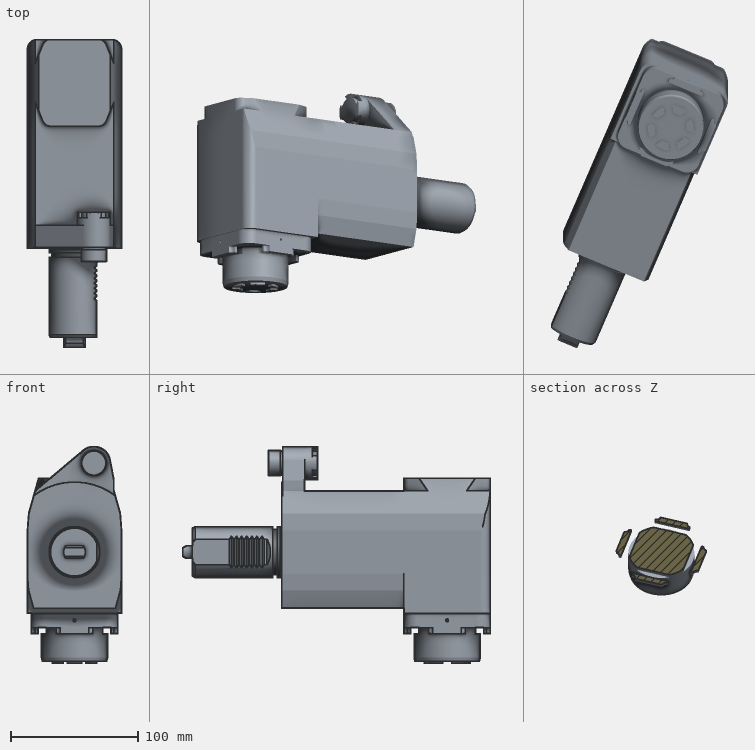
import cadquery as cq
import math


WIDTH = 74.0
HALF_WIDTH = WIDTH / 2
LENGTH = 164.0
FIRST_FACET_X = 36.0
FIRST_FACET_Z = 30.2
FLAT_SIDE_Z = 17.1
TOP_HALF_WIDTH = 31.0
TOP_Z = 48.0
BOTTOM_Z = -44.0
FACET_SLOPE = (FIRST_FACET_X - TOP_HALF_WIDTH) / (TOP_Z - FIRST_FACET_Z)
BOTTOM_HALF_WIDTH = FIRST_FACET_X + FACET_SLOPE * (FIRST_FACET_Z + BOTTOM_Z)

HEAD_LENGTH = 68.0
HEAD_FRONT_Y = LENGTH - HEAD_LENGTH
HEAD_BOTTOM_Z = -48.0
SPINDLE_Y = LENGTH - HEAD_LENGTH / 2
REAR_CORNER_RADIUS = 8.0

COVER_TOP_Z = 58.0
COVER_TOP_HALF_WIDTH = TOP_HALF_WIDTH - FACET_SLOPE * (COVER_TOP_Z - TOP_Z)
COVER_SIDE_HALF_LENGTH = 15.3
COVER_END_HALF_WIDTH = 23.2
COVER_CORNER_RADIUS = 6.0

ARM_CENTER_X = 15.2
ARM_CENTER_Z = 69.9
ARM_RADIUS = 13.0
ARM_THICKNESS = 18.0
ARM_SIDE_TOP_Z = 56.4
FACE_RELIEF_DEPTH = 0.8
FACE_ARC_RADIUS = 53.5
FACE_ARC_CENTER_Z = 1.5
PIN_DIAMETER = 20.0
PIN_NECK_DIAMETER = 19.0
PIN_NECK_END_Y = -1.2
PIN_TIP_Y = -10.5
PIN_CHAMFER = 0.5
BOLT_HEAD_DIAMETER = 26.0
BOLT_HEAD_END_Y = 28.3
BOLT_CORE_DIAMETER = 20.0
BOLT_SLOT_WIDTH = 8.6
BOLT_SLOT_DEPTH = 4.3
BOLT_SLOT_COUNT = 4

SHANK_DIAMETER = 40.0
SHANK_RADIUS = SHANK_DIAMETER / 2
SHANK_LENGTH = 70.0
SEAT_DIAMETER = 39.6
SEAT_LENGTH = 1.0
GROOVE_DIAMETER = 36.0
GROOVE_START = 3.6
GROOVE_END = 7.0
SHANK_CHAMFER_LENGTH = 2.2
SHANK_CHAMFER_DEPTH = 1.2
FLAT_X = 17.3
FLAT_START = 11.5
TOOTH_PITCH = 4.0
TOOTH_HALF_WIDTH = 1.6
TOOTH_DEPTH = 1.6
TOOTH_COUNT = 7
FIRST_TOOTH = 15.4

TANG_DIAMETER = 17.0
TANG_HEIGHT = 10.0
TANG_TIP = 77.8
TANG_BEVEL_LENGTH = 3.2
TANG_BEVEL_DEPTH = 1.7

FLANGE_SIZE = 68.0
FLANGE_HALF = FLANGE_SIZE / 2
FLANGE_CORNER_RADIUS = 10.0
FLANGE_TOP_Z = -48.6
FLANGE_BOTTOM_Z = -59.4
FLANGE_NECK_INSET = 0.5
TAB_BOTTOM_Z = -64.1
TAB_HALF_WIDTH = 11.2
TAB_CORNER_RADIUS = 6.37 / 2
TAB_THICKNESS = 5.4
SIDE_HOLE_DIAMETER = 2.1
SIDE_HOLE_DEPTH = 1.7
SIDE_HOLE_Z = -53.6

NUT_DIAMETER = 52.0
NUT_NOTCH_BOTTOM_Z = -64.3
NUT_NOTCH_SPACING = 44.6
NUT_BOTTOM_Z = -85.9
NUT_CHAMFER_HEIGHT = 3.2
NUT_CHAMFER_DEPTH = 0.8
CROWN_DIAMETER = 36.0
CROWN_BORE_DIAMETER = 25.0
CROWN_BOTTOM_Z = -87.41
CROWN_SLOT_WIDTH = 7.0
CROWN_SLOTS_ACROSS = 3


def prism_along_y(outline, start_y, end_y):
    """Extrude a closed list of (x, z) points from start_y to end_y."""
    sketch = cq.Workplane("XZ", origin=(0, start_y, 0)).polyline(outline).close()
    return sketch.extrude(start_y - end_y)


def prism_along_x(outline, width):
    """Extrude a closed list of (y, z) points to the given width, centred on X = 0."""
    return cq.Workplane("YZ").polyline(outline).close().extrude(width / 2, both=True)


def cylinder_along_y(diameter, start_y, end_y, x=0.0, z=0.0):
    return cq.Workplane("XZ", origin=(x, start_y, z)).circle(diameter / 2).extrude(start_y - end_y)


def cylinder_along_z(diameter, low_z, high_z):
    base = cq.Workplane("XY", origin=(0, SPINDLE_Y, low_z))
    return base.circle(diameter / 2).extrude(high_z - low_z)


def box(size_x, size_y, low_z, high_z, center_y):
    base = cq.Workplane("XY", origin=(0, center_y, low_z))
    return base.rect(size_x, size_y).extrude(high_z - low_z)


def mirrored_outline(right_side):
    """Complete an outline from its +X half, listed from bottom to top."""
    return right_side + [(-x, z) for x, z in reversed(right_side)]


def make_housing():
    upper = [(HALF_WIDTH, FLAT_SIDE_Z), (FIRST_FACET_X, FIRST_FACET_Z), (TOP_HALF_WIDTH, TOP_Z)]
    lower = [
        (BOTTOM_HALF_WIDTH, BOTTOM_Z),
        (FIRST_FACET_X, -FIRST_FACET_Z),
        (HALF_WIDTH, -FLAT_SIDE_Z),
    ]
    barrel = prism_along_y(mirrored_outline(lower + upper), 0, HEAD_FRONT_Y)
    head_outline = mirrored_outline([(HALF_WIDTH, HEAD_BOTTOM_Z)] + upper)
    head = prism_along_y(head_outline, HEAD_FRONT_Y, LENGTH)
    head_plan = box(WIDTH, HEAD_LENGTH, HEAD_BOTTOM_Z, TOP_Z, SPINDLE_Y)
    head = head.intersect(head_plan.edges("|Z and >Y").fillet(REAR_CORNER_RADIUS))
    return barrel.union(head)


def make_cover():
    """Eight-cornered plate whose long sides continue the upper housing facets."""
    half_length = HEAD_LENGTH / 2
    right_side = [
        (COVER_END_HALF_WIDTH, -half_length),
        (TOP_HALF_WIDTH, -COVER_SIDE_HALF_LENGTH),
        (TOP_HALF_WIDTH, COVER_SIDE_HALF_LENGTH),
        (COVER_END_HALF_WIDTH, half_length),
    ]
    base = cq.Workplane("XY", origin=(0, SPINDLE_Y, TOP_Z))
    plate = base.polyline(mirrored_outline(right_side)).close().extrude(COVER_TOP_Z - TOP_Z)
    end_corners = plate.edges("|Z").edges("<Y or >Y")
    plate = end_corners.fillet(COVER_CORNER_RADIUS)
    taper = mirrored_outline([(TOP_HALF_WIDTH, TOP_Z), (COVER_TOP_HALF_WIDTH, COVER_TOP_Z)])
    return plate.intersect(prism_along_y(taper, HEAD_FRONT_Y, LENGTH))


def arm_tangent_point(x, z, side):
    """Point where a line from (x, z) touches the arm end, on the given side (+1 or -1)."""
    dx = x - ARM_CENTER_X
    dz = z - ARM_CENTER_Z
    angle = math.atan2(dz, dx) + side * math.acos(ARM_RADIUS / math.hypot(dx, dz))
    return (
        ARM_CENTER_X + ARM_RADIUS * math.cos(angle),
        ARM_CENTER_Z + ARM_RADIUS * math.sin(angle),
    )


def make_arm():
    right_tangent = arm_tangent_point(TOP_HALF_WIDTH, ARM_SIDE_TOP_Z, 1)
    left_tangent = arm_tangent_point(-TOP_HALF_WIDTH, TOP_Z, -1)
    outline = (
        cq.Workplane("XZ")
        .moveTo(-TOP_HALF_WIDTH, 0)
        .lineTo(TOP_HALF_WIDTH, 0)
        .lineTo(TOP_HALF_WIDTH, ARM_SIDE_TOP_Z)
        .lineTo(*right_tangent)
        .threePointArc((ARM_CENTER_X, ARM_CENTER_Z + ARM_RADIUS), left_tangent)
        .lineTo(-TOP_HALF_WIDTH, TOP_Z)
        .close()
    )
    return outline.extrude(-ARM_THICKNESS)


def make_face_relief():
    """Shallow step that leaves a round-topped raised area on the mounting face."""
    top = ARM_CENTER_Z + ARM_RADIUS
    slab = box(WIDTH, 2 * FACE_RELIEF_DEPTH, 0, top, 0)
    raised = cylinder_along_y(
        2 * FACE_ARC_RADIUS, -FACE_RELIEF_DEPTH, FACE_RELIEF_DEPTH, z=FACE_ARC_CENTER_Z
    )
    return slab.cut(raised)


def make_pin():
    at_arm = {"x": ARM_CENTER_X, "z": ARM_CENTER_Z}
    neck = cylinder_along_y(PIN_NECK_DIAMETER, PIN_NECK_END_Y, ARM_THICKNESS, **at_arm)
    tip = cylinder_along_y(PIN_DIAMETER, PIN_TIP_Y, PIN_NECK_END_Y, **at_arm)
    return neck.union(tip.faces("<Y").edges().chamfer(PIN_CHAMFER))


def make_bolt_head():
    at_arm = {"x": ARM_CENTER_X, "z": ARM_CENTER_Z}
    slot_start = BOLT_HEAD_END_Y - BOLT_SLOT_DEPTH
    head = cylinder_along_y(BOLT_HEAD_DIAMETER, ARM_THICKNESS, BOLT_HEAD_END_Y, **at_arm)
    core = cylinder_along_y(BOLT_CORE_DIAMETER, slot_start, BOLT_HEAD_END_Y, **at_arm)
    slot_base = cq.Workplane("XZ", origin=(ARM_CENTER_X, slot_start, ARM_CENTER_Z))
    for index in range(BOLT_SLOT_COUNT):
        turn = 360 / BOLT_SLOT_COUNT * (index + 0.5)
        outline = slot_base.transformed(rotate=(0, 0, turn)).center(BOLT_HEAD_DIAMETER / 2, 0)
        head = head.cut(outline.rect(BOLT_HEAD_DIAMETER, BOLT_SLOT_WIDTH).extrude(-BOLT_SLOT_DEPTH))
    return head.union(core)


def make_shank():
    end_radius = SHANK_RADIUS - SHANK_CHAMFER_DEPTH
    half_section = [
        (0, 0),
        (SEAT_DIAMETER / 2, 0),
        (SEAT_DIAMETER / 2, -SEAT_LENGTH),
        (SHANK_RADIUS, -SEAT_LENGTH),
        (SHANK_RADIUS, -GROOVE_START),
        (GROOVE_DIAMETER / 2, -GROOVE_START),
        (GROOVE_DIAMETER / 2, -GROOVE_END),
        (SHANK_RADIUS, -GROOVE_END),
        (SHANK_RADIUS, SHANK_CHAMFER_LENGTH - SHANK_LENGTH),
        (end_radius, -SHANK_LENGTH),
        (0, -SHANK_LENGTH),
    ]
    shank = cq.Workplane("XY").polyline(half_section).close().revolve(360, (0, 0, 0), (0, 1, 0))
    return shank.cut(make_flat_cutter()).cut(make_tooth_gaps())


def make_flat_cutter():
    """Clears the +X side of the shank to a flat that starts with a 45 degree ramp."""
    ramp = SHANK_RADIUS - FLAT_X
    section = [
        (FLAT_X, -FLAT_START),
        (FLAT_X, -SHANK_LENGTH),
        (SHANK_RADIUS, -SHANK_LENGTH),
        (SHANK_RADIUS, ramp - FLAT_START),
    ]
    return cq.Workplane("XY").polyline(section).close().extrude(SHANK_RADIUS, both=True)


def make_tooth_gaps():
    gaps = cq.Workplane("XY")
    for index in range(TOOTH_COUNT):
        y = -FIRST_TOOTH - index * TOOTH_PITCH
        section = [
            (FLAT_X - TOOTH_DEPTH, y),
            (FLAT_X, y - TOOTH_HALF_WIDTH),
            (FLAT_X, y + TOOTH_HALF_WIDTH),
        ]
        gaps = gaps.add(cq.Workplane("XY").polyline(section).close().extrude(SHANK_RADIUS, both=True))
    return gaps.combine()


def make_tang():
    """Flat-sided tang with rounded narrow sides, bevelled above and below at its tip."""
    length = TANG_TIP - SHANK_LENGTH
    rod = cylinder_along_y(TANG_DIAMETER, -TANG_TIP, -SHANK_LENGTH)
    tang = rod.intersect(
        box(TANG_DIAMETER, 2 * length, -TANG_HEIGHT / 2, TANG_HEIGHT / 2, -SHANK_LENGTH)
    )
    flank_z = TANG_HEIGHT / 2
    bevel = prism_along_x(
        [
            (-TANG_TIP, flank_z),
            (-TANG_TIP, flank_z - TANG_BEVEL_DEPTH),
            (TANG_BEVEL_LENGTH - TANG_TIP, flank_z),
        ],
        TANG_DIAMETER,
    )
    return tang.cut(bevel).cut(bevel.mirror("XY"))


def make_tab():
    """Hanging tab at the +X side of the flange, widened inwards by concave corners."""
    corner_x = FLANGE_HALF - TAB_CORNER_RADIUS
    wide = TAB_HALF_WIDTH + TAB_CORNER_RADIUS
    inner_x = FLANGE_HALF - TAB_THICKNESS
    arc_offset = TAB_CORNER_RADIUS * math.sqrt(0.5)
    arc_x = FLANGE_HALF - arc_offset
    arc_y = wide - arc_offset
    return (
        cq.Workplane("XY", origin=(0, SPINDLE_Y, TAB_BOTTOM_Z))
        .moveTo(FLANGE_HALF, -TAB_HALF_WIDTH)
        .lineTo(FLANGE_HALF, TAB_HALF_WIDTH)
        .threePointArc((arc_x, arc_y), (corner_x, wide))
        .lineTo(inner_x, wide)
        .lineTo(inner_x, -wide)
        .lineTo(corner_x, -wide)
        .threePointArc((arc_x, -arc_y), (FLANGE_HALF, -TAB_HALF_WIDTH))
        .close()
        .extrude(FLANGE_BOTTOM_Z - TAB_BOTTOM_Z)
    )


def make_side_hole():
    base = cq.Workplane("YZ", origin=(FLANGE_HALF, SPINDLE_Y, SIDE_HOLE_Z))
    return base.circle(SIDE_HOLE_DIAMETER / 2).extrude(-SIDE_HOLE_DEPTH)


def rounded_square(size, corner_radius, low_z, high_z):
    """Square block on the spindle axis with rounded vertical edges."""
    return box(size, size, low_z, high_z, SPINDLE_Y).edges("|Z").fillet(corner_radius)


def make_flange():
    """Square flange on a short neck, with a hanging tab and a small hole in the middle of every side."""
    flange = rounded_square(FLANGE_SIZE, FLANGE_CORNER_RADIUS, FLANGE_BOTTOM_Z, FLANGE_TOP_Z)
    neck_size = FLANGE_SIZE - 2 * FLANGE_NECK_INSET
    neck_radius = FLANGE_CORNER_RADIUS - FLANGE_NECK_INSET
    flange = flange.union(rounded_square(neck_size, neck_radius, FLANGE_TOP_Z, HEAD_BOTTOM_Z))
    tab = make_tab()
    hole = make_side_hole()
    axis = ((0, SPINDLE_Y, 0), (0, SPINDLE_Y, 1))
    for turn in range(0, 360, 90):
        flange = flange.union(tab.rotate(*axis, turn)).cut(hole.rotate(*axis, turn))
    return flange


def make_crown():
    """Slotted ring on the lower face of the collet nut."""
    crown = cylinder_along_z(CROWN_DIAMETER, CROWN_BOTTOM_Z, NUT_BOTTOM_Z)
    crown = crown.cut(cylinder_along_z(CROWN_BORE_DIAMETER, CROWN_BOTTOM_Z, NUT_BOTTOM_Z))
    slot = box(CROWN_DIAMETER, CROWN_SLOT_WIDTH, CROWN_BOTTOM_Z, NUT_BOTTOM_Z, SPINDLE_Y)
    for index in range(CROWN_SLOTS_ACROSS):
        turn = 180 / CROWN_SLOTS_ACROSS * index
        crown = crown.cut(slot.rotate((0, SPINDLE_Y, 0), (0, SPINDLE_Y, 1), turn))
    return crown


def make_nut():
    """Collet nut with a notch behind each flange tab."""
    nut = cylinder_along_z(NUT_DIAMETER, NUT_BOTTOM_Z, FLANGE_BOTTOM_Z)
    nut = nut.faces("<Z").edges().chamfer(NUT_CHAMFER_HEIGHT, NUT_CHAMFER_DEPTH)
    ring = cylinder_along_z(NUT_DIAMETER, NUT_NOTCH_BOTTOM_Z, FLANGE_BOTTOM_Z)
    core = box(
        NUT_NOTCH_SPACING, NUT_NOTCH_SPACING, NUT_NOTCH_BOTTOM_Z, FLANGE_BOTTOM_Z, SPINDLE_Y
    )
    return nut.cut(ring.cut(core)).union(make_crown())


result = (
    make_housing()
    .union(make_cover())
    .union(make_arm())
    .cut(make_face_relief())
    .union(make_pin())
    .union(make_bolt_head())
    .union(make_shank())
    .union(make_tang())
    .union(make_flange())
    .union(make_nut())
)